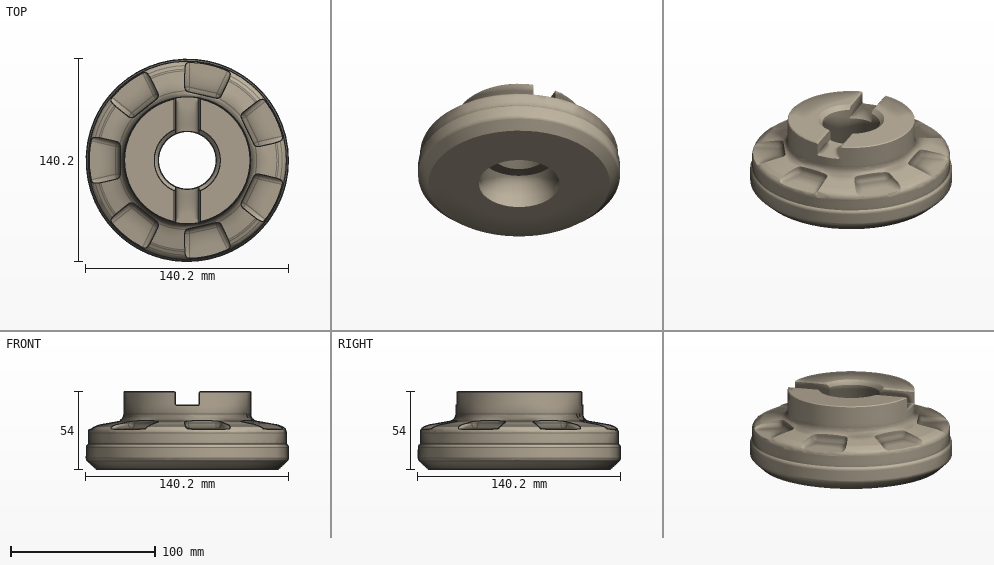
import cadquery as cq
import math

overall_height = 54.0

ring_radius = 70.1
ring_height = 17.4
ring_foot_radius = 63.0
ring_cone_height = 6.6
ring_edge_round = 2.8

flange_radius = 137.4 / 2
flange_side_top = 25.1
rim_round_radius = 4.8
rim_bevel_angle = 22.0
rim_bevel_inner_radius = 62.7
face_angle = 10.0
bevel_blend_radius = 5.9

hub_radius = 88.0 / 2
hub_root_radius = 4.9
hub_chamfer = 0.5

bore_radius = 40.0 / 2
bore_chamfer = 3.0
counterbore_radius = 56.0 / 2
counterbore_top = 26.6

slot_width = 16.4
slot_floor = 44.5
slot_floor_round = 0.8
slot_mouth_chamfer = 1.0

pocket_count = 7
pocket_first_angle = 180.0
pocket_floor_height = 28.5
pocket_floor_tilt = 2.0
pocket_inner_radius = 46.3
pocket_wall_offset = 1.8
pocket_round = 3.5


def flange_profile():
    """Half section of the holder, from the counterbore out to the rim and up to the hub."""
    bevel = math.radians(rim_bevel_angle)
    face = math.radians(face_angle)

    round_centre = flange_radius - rim_round_radius

    def on_rim(angle):
        r = round_centre + rim_round_radius * math.cos(angle)
        z = flange_side_top + rim_round_radius * math.sin(angle)
        return r, z

    rim_end_angle = math.pi / 2 - bevel
    rim_end = on_rim(rim_end_angle)
    bevel_rise = (rim_end[0] - rim_bevel_inner_radius) * math.tan(bevel)
    bevel_corner = (rim_bevel_inner_radius, rim_end[1] + bevel_rise)

    blend_length = bevel_blend_radius * math.tan((bevel - face) / 2)
    blend_start = (
        bevel_corner[0] + blend_length * math.cos(bevel),
        bevel_corner[1] - blend_length * math.sin(bevel),
    )
    blend_end = (
        bevel_corner[0] - blend_length * math.cos(face),
        bevel_corner[1] + blend_length * math.sin(face),
    )
    blend_mid = (
        blend_start[0] + bevel_blend_radius * (math.sin((bevel + face) / 2) - math.sin(bevel)),
        blend_start[1] + bevel_blend_radius * (math.cos((bevel + face) / 2) - math.cos(bevel)),
    )

    root_centre_r = hub_radius + hub_root_radius
    root_start_r = root_centre_r - hub_root_radius * math.sin(face)
    root_start_z = blend_end[1] + (blend_end[0] - root_start_r) * math.tan(face)
    root_centre_z = root_start_z + hub_root_radius * math.cos(face)
    root_mid_angle = (math.pi / 2 + face) / 2
    root_mid = (
        root_centre_r - hub_root_radius * math.sin(root_mid_angle),
        root_centre_z - hub_root_radius * math.cos(root_mid_angle),
    )

    return (
        cq.Workplane("XZ")
        .moveTo(counterbore_radius, ring_height)
        .lineTo(flange_radius, ring_height)
        .lineTo(flange_radius, flange_side_top)
        .threePointArc(on_rim(rim_end_angle / 2), rim_end)
        .lineTo(*blend_start)
        .threePointArc(blend_mid, blend_end)
        .lineTo(root_start_r, root_start_z)
        .threePointArc(root_mid, (hub_radius, root_centre_z))
        .lineTo(hub_radius, overall_height - hub_chamfer)
        .lineTo(hub_radius - hub_chamfer, overall_height)
        .lineTo(bore_radius + bore_chamfer, overall_height)
        .lineTo(bore_radius, overall_height - bore_chamfer)
        .lineTo(bore_radius, counterbore_top)
        .lineTo(counterbore_radius, counterbore_top)
        .close()
    )


def slot_cutter():
    """Bar along Y with rounded lower edges and a flared mouth."""
    length = 2 * flange_radius
    depth = overall_height - slot_floor
    bar = (
        cq.Workplane("XY", origin=(0, 0, slot_floor))
        .box(slot_width, length, depth, centered=(True, True, False))
        .faces("<Z").edges("|Y").fillet(slot_floor_round)
    )
    half = slot_width / 2
    mouth = (
        cq.Workplane("XZ", origin=(0, length / 2, 0))
        .moveTo(-half, overall_height - slot_mouth_chamfer)
        .lineTo(half, overall_height - slot_mouth_chamfer)
        .lineTo(half + slot_mouth_chamfer, overall_height)
        .lineTo(-half - slot_mouth_chamfer, overall_height)
        .close()
        .extrude(length)
    )
    return bar.union(mouth)


def pocket_cutter():
    """Wedge-shaped cutter on the +X axis; its sides run parallel to radial lines."""
    half_angle = math.pi / (2 * pocket_count)
    outer_radius = flange_radius + 2 * pocket_round
    height = overall_height - pocket_floor_height

    def half_width(radius):
        return radius * math.tan(half_angle) + pocket_wall_offset / math.cos(half_angle)

    inner = half_width(pocket_inner_radius)
    outer = half_width(outer_radius)
    wedge = (
        cq.Workplane("XY", origin=(0, 0, pocket_floor_height))
        .moveTo(pocket_inner_radius, -inner)
        .lineTo(outer_radius, -outer)
        .lineTo(outer_radius, outer)
        .lineTo(pocket_inner_radius, inner)
        .close()
        .extrude(height)
    )
    upright_edges = wedge.faces("<X").edges("|Z")
    floor_edges = wedge.faces("<Z").edges("not >X")
    wedge = upright_edges.add(floor_edges).fillet(pocket_round)
    pivot = (pocket_inner_radius, 0, pocket_floor_height)
    pivot_end = (pocket_inner_radius, 1, pocket_floor_height)
    return wedge.rotate(pivot, pivot_end, pocket_floor_tilt)


def make_holder():
    body = flange_profile().revolve(360, (0, 0, 0), (0, 1, 0))
    body = body.cut(slot_cutter())
    pocket = pocket_cutter()
    pitch = 360.0 / pocket_count
    for i in range(pocket_count):
        body = body.cut(pocket.rotate((0, 0, 0), (0, 0, 1), pocket_first_angle + i * pitch))
    return body


def make_abrasive_ring():
    """Ring with a conical foot; its upper edge is rounded down to the flange radius."""
    step = ring_radius - flange_radius
    round_centre = ring_radius - ring_edge_round
    round_height = math.sqrt(ring_edge_round ** 2 - (ring_edge_round - step) ** 2)
    side_top = ring_height - round_height
    mid_angle = math.asin(round_height / ring_edge_round) / 2
    round_mid = (
        round_centre + ring_edge_round * math.cos(mid_angle),
        side_top + ring_edge_round * math.sin(mid_angle),
    )
    ring = (
        cq.Workplane("XZ")
        .moveTo(counterbore_radius, 0)
        .lineTo(ring_foot_radius, 0)
        .lineTo(ring_radius, ring_cone_height)
        .lineTo(ring_radius, side_top)
        .threePointArc(round_mid, (flange_radius, ring_height))
        .lineTo(counterbore_radius, ring_height)
        .close()
        .revolve(360, (0, 0, 0), (0, 1, 0))
    )
    cone_edge = cq.selectors.BoxSelector(
        (-2 * ring_radius, -2 * ring_radius, ring_cone_height - ring_edge_round / 2),
        (2 * ring_radius, 2 * ring_radius, ring_cone_height + ring_edge_round / 2),
        boundingbox=True,
    )
    return ring.edges(cone_edge).fillet(ring_edge_round)


holder = make_holder()
abrasive_ring = make_abrasive_ring()

result = cq.Compound.makeCompound([holder.val(), abrasive_ring.val()])